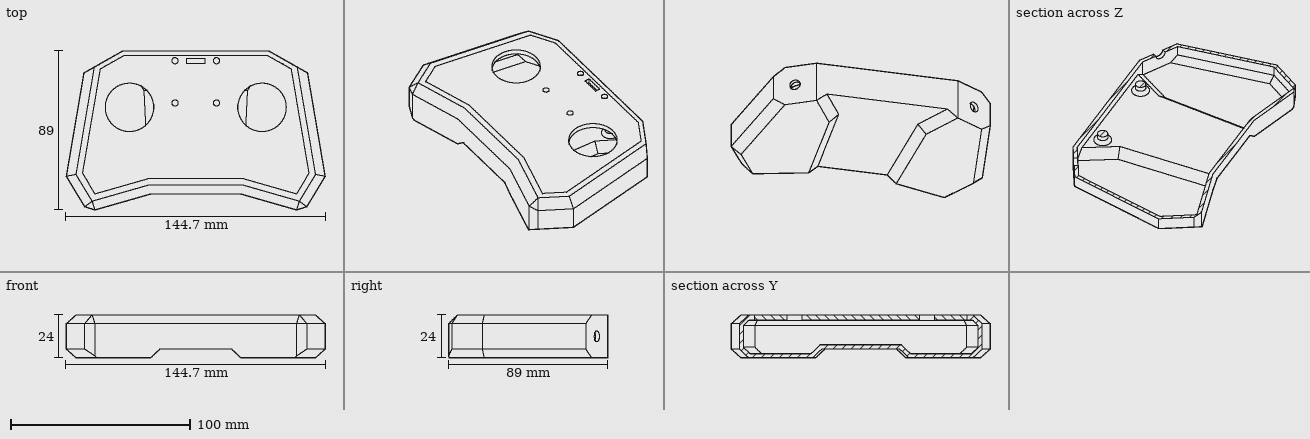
import cadquery as cq
import math

height = 24.0
width = 144.7
depth = 89.0
half_width = width / 2
half_depth = depth / 2
wall = 2.5
bevel_run = 5.2
bevel_rise = 4.9

back_x = 40.7
shoulder = (62.5, 32.1)
side_corner = (half_width, -25.6)
grip_outer = (62.0, -42.7)
grip_inner = (56.3, -half_depth)
front_corner = (25.2, -35.6)

tunnel_kink = (27.9, 22.4)

lid_thickness = 3.0
rim_bevelled = 3.5
rim_back = 2.6
stick_hole_diameter = 27.0
stick_x = 37.0
stick_y = 12.9
small_hole_diameter = 3.5
small_hole_x = 11.6
small_hole_rows = (15.3, 38.9)
slot_length = 10.1
slot_width = 2.7
slot_y = 38.8

wall_hole_diameter = 6.0
post_diameter = 6.0
post_flare = 2.0
post_x = 23.2
post_y = 34.7

slope_wall = wall * math.hypot(bevel_run, bevel_rise) / bevel_rise
lid_bottom = height - lid_thickness
raised_floor = bevel_rise + wall
mid_height = height / 2


def slope_shift(rise):
    """Horizontal travel of a bevel over a given rise."""
    return bevel_run * rise / bevel_rise


def crossing(a, b, c, d):
    """Point where the line through a and b meets the line through c and d."""
    ux, uy = b[0] - a[0], b[1] - a[1]
    vx, vy = d[0] - c[0], d[1] - c[1]
    s = ((c[0] - a[0]) * vy - (c[1] - a[1]) * vx) / (ux * vy - uy * vx)
    return (a[0] + s * ux, a[1] + s * uy)


def mirrored(half):
    """Close a +X half outline, listed back to front, into a clockwise loop."""
    return half + [(-x, y) for x, y in reversed(half)]


def with_edges(half, front):
    """Per-edge values for a mirrored loop; the half list runs from the back edge down the +X side."""
    return half[1:] + [front] + half[:0:-1] + [half[0]]


def inset(points, distances):
    """Move each edge of a clockwise loop inward by its own distance; edge i starts at point i."""
    lines = []
    for i, (a, distance) in enumerate(zip(points, distances)):
        b = points[(i + 1) % len(points)]
        length = math.dist(a, b)
        dx = (b[1] - a[1]) / length * distance
        dy = (a[0] - b[0]) / length * distance
        lines.append(((a[0] + dx, a[1] + dy), (b[0] + dx, b[1] + dy)))
    return [crossing(*lines[i - 1], *lines[i]) for i in range(len(lines))]


def prism(points, z_low, z_high):
    return cq.Workplane("XY").workplane(offset=z_low).polyline(points).close().extrude(z_high - z_low)


def flat_face(corners):
    return cq.Face.makeFromWires(cq.Wire.makePolygon([cq.Vector(*c) for c in corners], close=True))


def frustum(low_points, z_low, high_points, z_high):
    """Flat-sided solid between two loops with matching edges; repeated high points make triangles."""
    low = [(x, y, z_low) for x, y in low_points]
    high = [(x, y, z_high) for x, y in high_points]
    faces = [flat_face(low), flat_face(list(dict.fromkeys(high)))]
    for i in range(len(low)):
        j = (i + 1) % len(low)
        faces.append(flat_face(list(dict.fromkeys([low[i], low[j], high[j], high[i]]))))
    return cq.Workplane(cq.Solid.makeSolid(cq.Shell.makeShell(faces)))


def edge_insets(back, side, front):
    """Insets of the body loop: back edges, side and lower side edges, front edges."""
    return with_edges([back, back, side, side, front], front)


grip_tip = crossing(side_corner, grip_outer, grip_inner, front_corner)
sharp_outline = mirrored([(back_x, half_depth), shoulder, side_corner, grip_tip, front_corner])
cut_outline = mirrored(
    [(back_x, half_depth), shoulder, side_corner, grip_outer, grip_inner, front_corner]
)


def doubled_tips(points):
    """Repeat each grip tip so that a sharp loop pairs with the cut one."""
    right_tip = sharp_outline.index(grip_tip)
    left_tip = len(points) - 1 - right_tip
    paired = []
    for i, point in enumerate(points):
        copies = 2 if i in (right_tip, left_tip) else 1
        paired += [point] * copies
    return paired


def make_envelope():
    """Outer block: bevelled all round the top except at the back, and under the sides."""
    bottom = inset(sharp_outline, edge_insets(0, bevel_run, 0))
    top = inset(sharp_outline, edge_insets(0, bevel_run, bevel_run))
    base = frustum(bottom, 0, sharp_outline, bevel_rise).intersect(prism(cut_outline, 0, bevel_rise))
    middle = prism(cut_outline, bevel_rise, height - bevel_rise)
    crown = frustum(cut_outline, height - bevel_rise, doubled_tips(top), height)
    return base.union(middle).union(crown)


def make_tunnel(offset, top):
    """Passage under the body with sloped sides, widened by a horizontal offset."""
    foot = mirrored([(back_x, half_depth), tunnel_kink, front_corner])

    def sides(distance):
        return with_edges([0, distance, distance], 0)

    low = inset(foot, sides(-offset))
    high = inset(foot, sides(slope_shift(top) - offset))
    return frustum(low, 0, high, top)


def make_cavity():
    """Hollow one wall thickness inside the envelope, up to the underside of the lid."""
    knee = bevel_rise + (slope_wall - wall) * bevel_rise / bevel_run
    floor_inset = wall + slope_shift(knee - wall)
    roof_inset = wall + slope_shift(knee - lid_thickness)
    inner = inset(sharp_outline, edge_insets(wall, wall, wall))
    floor = inset(sharp_outline, edge_insets(wall, floor_inset, wall))
    roof = inset(sharp_outline, edge_insets(wall, roof_inset, roof_inset))
    low = frustum(floor, wall, inner, knee)
    middle = prism(inner, knee, height - knee)
    high = frustum(inner, height - knee, roof, lid_bottom)
    hollow = low.union(middle).union(high)
    return hollow.cut(make_tunnel(slope_wall, raised_floor))


def make_wall_hole(side):
    """Hole square through the middle of one angled back wall."""
    run_x, run_y = shoulder[0] - back_x, half_depth - shoulder[1]
    center = cq.Vector(side * (back_x + shoulder[0]) / 2, (half_depth + shoulder[1]) / 2, mid_height)
    inward = cq.Vector(-side * run_y, -run_x, 0).normalized()
    start = center - inward * wall
    length = 3 * wall
    return cq.Workplane(cq.Solid.makeCylinder(wall_hole_diameter / 2, length, start, inward))


def make_post(side):
    """Lid support on the raised floor, with a conical foot."""
    radius = post_diameter / 2
    foot_radius = radius + post_flare
    root = bevel_rise + wall / 2
    profile = (
        cq.Workplane("XZ")
        .moveTo(0, root)
        .lineTo(foot_radius, root)
        .lineTo(foot_radius, raised_floor)
        .lineTo(radius, raised_floor + post_flare)
        .lineTo(radius, lid_bottom)
        .lineTo(0, lid_bottom)
        .close()
    )
    return profile.revolve(360, (0, 0, 0), (0, 1, 0)).translate((side * post_x, post_y, 0))


def make_lid_blank():
    """Plain plate that fills the opening in the top of the housing."""
    bevelled = bevel_run + rim_bevelled
    return prism(inset(sharp_outline, edge_insets(rim_back, bevelled, bevelled)), lid_bottom, height)


def make_housing():
    body = make_envelope().cut(make_cavity()).cut(make_tunnel(0, bevel_rise)).cut(make_lid_blank())
    for side in (-1, 1):
        body = body.cut(make_wall_hole(side)).union(make_post(side))
    return body


def make_lid():
    stick_points = [(side * stick_x, stick_y) for side in (-1, 1)]
    small_points = [(side * small_hole_x, y) for side in (-1, 1) for y in small_hole_rows]
    cutters = cq.Workplane("XY").workplane(offset=lid_bottom)
    stick_holes = cutters.pushPoints(stick_points).circle(stick_hole_diameter / 2).extrude(lid_thickness)
    small_holes = cutters.pushPoints(small_points).circle(small_hole_diameter / 2).extrude(lid_thickness)
    slot = cutters.center(0, slot_y).rect(slot_length, slot_width).extrude(lid_thickness)
    return make_lid_blank().cut(stick_holes).cut(small_holes).cut(slot)


housing = make_housing()
lid = make_lid()

result = cq.Compound.makeCompound([housing.solids().val(), lid.solids().val()])